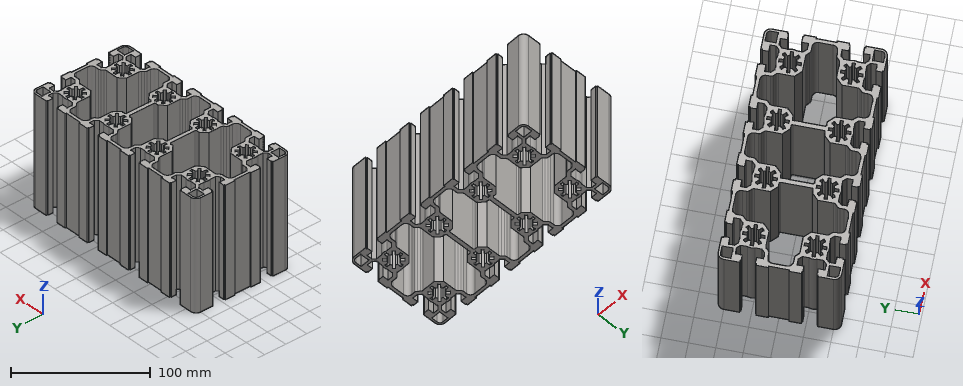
import cadquery as cq
import math

LENGTH_X = 180.0
WIDTH_Y = 90.0
HEIGHT = 100.0
CORNER_RADIUS = 5.0

PITCH = 45.0
HALF_PITCH = PITCH / 2
COLUMNS = round(LENGTH_X / PITCH)
ROWS = round(WIDTH_Y / PITCH)

MOUTH_HALF = 6.0
MOUTH_DEPTH = 1.3
THROAT_HALF = 5.2
LIP_DEPTH = 6.0
CHAMBER_HALF = 10.3
SLOT_DEPTH = 13.0
CHAMBER_CHAMFER = 2.5
RIDGE_HALF = 2.9
RIDGE_HEIGHT = 0.5

GROOVE_HALF = 7.5
GROOVE_DEPTH = 1.0

BORE_RADIUS = 5.0
SLIT_COUNT = 8
SLIT_REACH = 8.1
SLIT_WIDTH = 2.2

NODE_HALF = 10.0
NODE_CHAMFER = 4.9
OUTER_WALL = 3.8
POCKET_HALF = 9.4
POCKET_FILLET = 4.1
WEB_THICKNESS = 3.5
WEB_FILLET = 1.0
BAY_HALF = HALF_PITCH - NODE_HALF
POCKET_FLARE = BAY_HALF - POCKET_HALF
POCKET_DEPTH = 15.1
FLARE_FILLET = 2.7

HOLLOW_NEAR = 1.8
HOLLOW_FAR = 9.9
HOLLOW_FILLET = 2.9

EDGE_MARGIN = 0.2


def centred(count):
    """Grid positions of `count` items, centred on zero."""
    return [(i - (count - 1) / 2) * PITCH for i in range(count)]


def prism(sketch):
    """Close the outline and extrude it to the full height."""
    return sketch.close().extrude(HEIGHT)


def block(x_size, y_size):
    return cq.Workplane("XY").rect(x_size, y_size).extrude(HEIGHT)


def fillet_upright_edges(body, centre, span, radius):
    """Fillet the upright edges inside a box of the given span, with a small margin all round."""
    reach_x = span[0] / 2 + EDGE_MARGIN
    reach_y = span[1] / 2 + EDGE_MARGIN
    near = (centre[0] - reach_x, centre[1] - reach_y, 0)
    far = (centre[0] + reach_x, centre[1] + reach_y, HEIGHT)
    return body.edges("|Z").edges(cq.selectors.BoxSelector(near, far)).fillet(radius)


def on_faces(cutter, between_slots):
    """Copies of a cutter on every outer face, at the slots or halfway between them.

    The cutter is modelled on a face lying along the X axis, with the material at negative Y.
    """
    copies = []
    for turn, count, face in ((0, COLUMNS, WIDTH_Y / 2), (90, ROWS, LENGTH_X / 2)):
        for along in centred(count - 1 if between_slots else count):
            placed = cutter.translate((along, face, 0)).rotate((0, 0, 0), (0, 0, 1), turn)
            copies.append(placed)
            copies.append(placed.rotate((0, 0, 0), (0, 0, 1), 180))
    return copies


def slot_cutter():
    floor_half = CHAMBER_HALF - CHAMBER_CHAMFER
    chamfer_start = SLOT_DEPTH - CHAMBER_CHAMFER
    return prism(
        cq.Workplane("XY")
        .moveTo(-MOUTH_HALF, 0)
        .lineTo(-MOUTH_HALF, -MOUTH_DEPTH)
        .lineTo(-THROAT_HALF, -MOUTH_DEPTH)
        .lineTo(-THROAT_HALF, -LIP_DEPTH)
        .lineTo(-CHAMBER_HALF, -LIP_DEPTH)
        .lineTo(-CHAMBER_HALF, -chamfer_start)
        .lineTo(-floor_half, -SLOT_DEPTH)
        .lineTo(-RIDGE_HALF, -SLOT_DEPTH)
        .threePointArc((0, RIDGE_HEIGHT - SLOT_DEPTH), (RIDGE_HALF, -SLOT_DEPTH))
        .lineTo(floor_half, -SLOT_DEPTH)
        .lineTo(CHAMBER_HALF, -chamfer_start)
        .lineTo(CHAMBER_HALF, -LIP_DEPTH)
        .lineTo(THROAT_HALF, -LIP_DEPTH)
        .lineTo(THROAT_HALF, -MOUTH_DEPTH)
        .lineTo(MOUTH_HALF, -MOUTH_DEPTH)
        .lineTo(MOUTH_HALF, 0)
    )


def groove_cutter():
    return block(2 * GROOVE_HALF, 2 * GROOVE_DEPTH)


def pocket_cutter():
    """Space behind the outer wall between two slots, flaring out towards the interior."""
    flare_start = POCKET_DEPTH - POCKET_FLARE
    pocket = prism(
        cq.Workplane("XY")
        .moveTo(-POCKET_HALF, -OUTER_WALL)
        .lineTo(-POCKET_HALF, -flare_start)
        .lineTo(-BAY_HALF, -POCKET_DEPTH)
        .lineTo(BAY_HALF, -POCKET_DEPTH)
        .lineTo(POCKET_HALF, -flare_start)
        .lineTo(POCKET_HALF, -OUTER_WALL)
    )
    pocket = pocket.faces(">Y").edges("|Z").fillet(POCKET_FILLET)
    return fillet_upright_edges(pocket, (0, -flare_start), (2 * POCKET_HALF, 0), FLARE_FILLET)


def interior():
    """Hollow left between the chamfered nodes, divided by the webs."""
    hollow = block(LENGTH_X - 2 * POCKET_DEPTH, 2 * BAY_HALF)

    diamond_reach = 2 * BAY_HALF + NODE_CHAMFER
    diamond = block(diamond_reach * math.sqrt(2), diamond_reach * math.sqrt(2))
    diamond = diamond.rotate((0, 0, 0), (0, 0, 1), 45)
    bay = block(2 * BAY_HALF, WIDTH_Y - 2 * POCKET_DEPTH).union(diamond)
    for x in centred(COLUMNS - 1):
        hollow = hollow.union(bay.translate((x, 0, 0)))

    inner_columns = centred(COLUMNS - 2)
    for x in inner_columns:
        hollow = hollow.cut(block(WEB_THICKNESS, WIDTH_Y).translate((x, 0, 0)))
        for y in (-BAY_HALF, BAY_HALF):
            hollow = fillet_upright_edges(hollow, (x, y), (WEB_THICKNESS, 0), WEB_FILLET)

    for pocket in on_faces(pocket_cutter(), between_slots=True):
        hollow = hollow.union(pocket)

    mouth_y = WIDTH_Y / 2 - POCKET_DEPTH
    mouth_x = LENGTH_X / 2 - POCKET_DEPTH
    along_x = [((x, y), (2 * BAY_HALF, 0)) for x in centred(COLUMNS - 1) for y in (-mouth_y, mouth_y)]
    along_y = [((x, y), (0, 2 * BAY_HALF)) for x in (-mouth_x, mouth_x) for y in centred(ROWS - 1)]
    for centre, span in along_x + along_y:
        hollow = fillet_upright_edges(hollow, centre, span, FLARE_FILLET)
    return hollow


def core_cutter():
    core = cq.Workplane("XY").circle(BORE_RADIUS).extrude(HEIGHT)
    slit = block(2 * SLIT_REACH, SLIT_WIDTH)
    for i in range(SLIT_COUNT // 2):
        core = core.union(slit.rotate((0, 0, 0), (0, 0, 1), i * 360 / SLIT_COUNT))
    return core


def corner_hollow():
    """Hollow of the +X +Y corner, rounded alongside the outer corner."""
    size = HOLLOW_FAR - HOLLOW_NEAR
    inset = (HOLLOW_NEAR + HOLLOW_FAR) / 2
    hollow = block(size, size).edges("|Z and >X and >Y").fillet(HOLLOW_FILLET)
    return hollow.translate((LENGTH_X / 2 - inset, WIDTH_Y / 2 - inset, 0))


profile = block(LENGTH_X, WIDTH_Y).edges("|Z").fillet(CORNER_RADIUS)

for slot in on_faces(slot_cutter(), between_slots=False):
    profile = profile.cut(slot)

for groove in on_faces(groove_cutter(), between_slots=True):
    profile = profile.cut(groove)

profile = profile.cut(interior())

core = core_cutter()
for node_x in centred(COLUMNS):
    for node_y in centred(ROWS):
        profile = profile.cut(core.translate((node_x, node_y, 0)))

right_corner = corner_hollow()
right_corners = right_corner.union(right_corner.mirror("XZ"))
profile = profile.cut(right_corners).cut(right_corners.mirror("YZ"))

result = profile